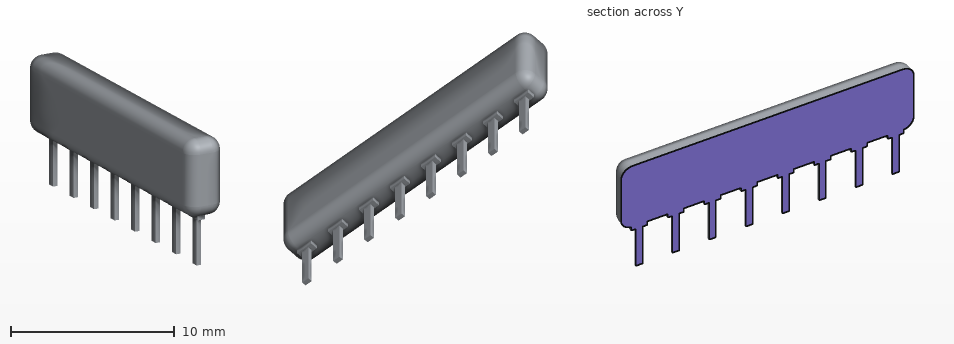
import cadquery as cq

body_length = 20.32
body_width = 2.5
body_height = 5.0
edge_radius = 0.83

pin_count = 8
pin_pitch = 2.55
pin_width = 0.5
pin_thickness = 0.3
pin_reach = 3.3

shoulder_width = 1.15
shoulder_thickness = 0.53
shoulder_height = 0.28

embed = edge_radius / 2


def make_body():
    """Block with every edge and corner rounded."""
    block = cq.Workplane("XY").box(body_length, body_width, body_height, centered=(True, True, False))
    return block.edges().fillet(edge_radius)


def hanging_bar(width, thickness, reach):
    """Rectangular bar at the origin, from inside the body down to Z = -reach."""
    bar = cq.Workplane("XY").box(width, thickness, reach + embed, centered=(True, True, False))
    return bar.translate((0, 0, -reach))


def make_lead():
    """One pin with its standoff shoulder."""
    pin = hanging_bar(pin_width, pin_thickness, pin_reach)
    shoulder = hanging_bar(shoulder_width, shoulder_thickness, shoulder_height)
    return pin.union(shoulder)


result = make_body()
lead = make_lead()
first_pin_x = -pin_pitch * (pin_count - 1) / 2
for i in range(pin_count):
    result = result.union(lead.translate((first_pin_x + i * pin_pitch, 0, 0)))